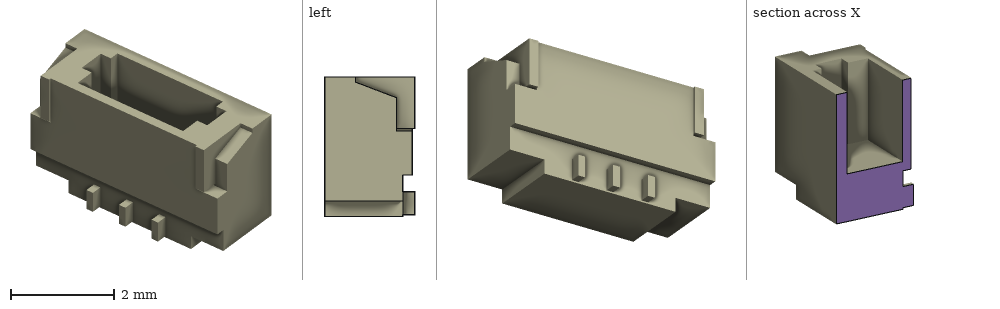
import cadquery as cq

length = 4.6
height = 2.7
body_depth = 1.697
overall_depth = 1.75

base_depth = 1.515
base_bottom = 0.305
base_top = 0.8
foot_length = 3.015

cavity_length = 2.595
cavity_back = 0.25
cavity_front = 1.495
keyed_length = 3.09
keyway_back = 0.455
keyway_front = 1.055
front_wall = body_depth - cavity_front
cavity_floor = base_top + front_wall

notch_width = 0.295
notch_back = 0.603
notch_step = 1.39
notch_floor = 1.65
slope_top = 2.6
slope_bottom = 2.3

strip_width = 0.205
strip_bottom = 1.7

pin_count = 3
pin_pitch = 0.8
pin_width = 0.155
pin_bottom = 0.03
pin_top = 0.485


def block(x_center, width, back, front, bottom, top):
    """Box whose back and front are distances forward (-Y) of the back face."""
    return cq.Workplane("XY").box(width, front - back, top - bottom).translate(
        (x_center, -(back + front) / 2, (bottom + top) / 2)
    )


def make_housing():
    foot = block(0, foot_length, 0, base_depth, 0, base_bottom)
    base = block(0, length, 0, base_depth, base_bottom, base_top)
    body = block(0, length, 0, body_depth, base_top, height)
    return body.union(base).union(foot)


def make_cavity():
    main = block(0, cavity_length, cavity_back, cavity_front, cavity_floor, height)
    keyways = block(0, keyed_length, keyway_back, keyway_front, cavity_floor, height)
    return main.union(keyways)


def make_notch(side):
    """Sloped end notch; side is -1 for the left end and 1 for the right."""
    profile = [
        (-notch_back, height),
        (-notch_back, slope_top),
        (-notch_step, slope_bottom),
        (-notch_step, notch_floor),
        (-body_depth, notch_floor),
        (-body_depth, height),
    ]
    left_edge = -length / 2 if side < 0 else length / 2 - notch_width
    notch = cq.Workplane("YZ").workplane(offset=left_edge).polyline(profile).close()
    return notch.extrude(notch_width)


result = make_housing().cut(make_cavity())

strip_offset = length / 2 - notch_width - strip_width / 2
for side in (-1, 1):
    strip_x = side * strip_offset
    gap_below_strip = block(strip_x, strip_width, notch_step, body_depth, notch_floor, strip_bottom)
    strip = block(strip_x, strip_width, notch_step, overall_depth, strip_bottom, height)
    result = result.cut(make_notch(side)).cut(gap_below_strip).union(strip)

for index in range(pin_count):
    pin_x = (index - (pin_count - 1) / 2) * pin_pitch
    result = result.union(block(pin_x, pin_width, base_depth, overall_depth, pin_bottom, pin_top))